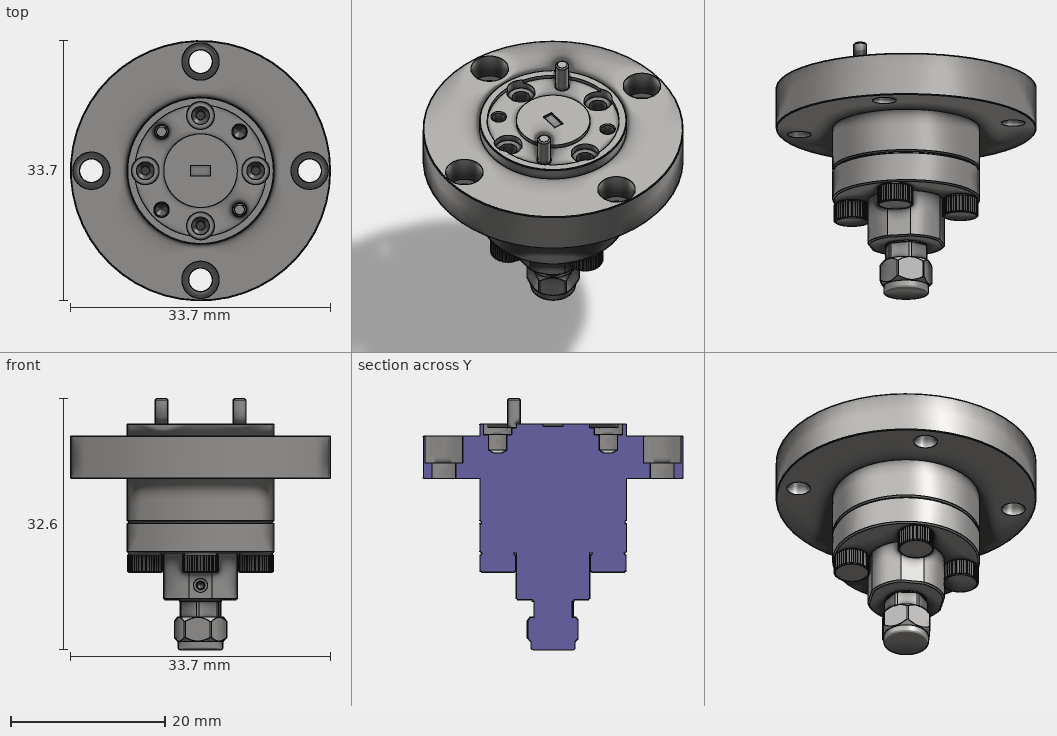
import cadquery as cq
import math


Z_PIN_TIP = 3.28
Z_RING_TOP = -1.56
Z_RING_BOTTOM = -7.1
Z_GROOVE_TOP = -12.5
Z_GROOVE_BOTTOM = -12.92
Z_BODY_BOTTOM = -16.73
Z_NECK_BOTTOM = -22.8
Z_SMALL_HEX_TOP = -22.98
Z_NUT_TOP = -25.03
Z_NUT_BOTTOM = -28.2
Z_SLEEVE_BOTTOM = -29.28

QUARTERS = (0, 90, 180, 270)
PIN_ANGLES = (135, 315)
PIN_HOLE_ANGLES = (45, 225)

BODY_RADIUS = 19.05 / 2
RING_RADIUS = 33.66 / 2
EDGE_CHAMFER = 0.1
GROOVE_DEPTH = 0.2
BODY_BOTTOM_CHAMFER = 0.2

MOUNT_CIRCLE_RADIUS = 28.24 / 2
MOUNT_HOLE_DIAMETER = 3.05
MOUNT_BORE_DIAMETER = 4.83
MOUNT_BORE_DEPTH = 3.5

RECESS_RADIUS = 17.06 / 2
CENTRE_BOSS_RADIUS = 9.53 / 2
RECESS_DEPTH = 0.5
WAVEGUIDE_LENGTH = 2.54
WAVEGUIDE_WIDTH = 1.32
WAVEGUIDE_DEPTH = 0.3

PITCH_RADIUS = 14.28 / 2
SCREW_BORE_RADIUS = 1.8
SCREW_BORE_DEPTH = 0.9
SCREW_HOLE_RADIUS = 1.15
SCREW_HOLE_DEPTH = 2.0
SCREW_CONE_END_RADIUS = 0.56
PIN_RADIUS = 0.84
PIN_CHAMFER = 0.2
PIN_SEAT_RADIUS = 0.94
PIN_SEAT_CHAMFER = 0.1
PIN_HOLE_RADIUS = 0.85
PIN_HOLE_CHAMFER = 0.15
PIN_HOLE_DEPTH = 3.0
DRILL_HALF_ANGLE = 59.0

HEAD_RADIUS = 2.32
HEAD_HEIGHT = 2.5
HEAD_TOP_CHAMFER = 0.24
HEAD_BOTTOM_CHAMFER = 0.12
KNURL_COUNT = 40
KNURL_DEPTH = 0.08

NECK_RADIUS = 5.0
NECK_ACROSS_FLATS = 9.53
NECK_CHAMFER = 0.2
SET_SCREW_Z = -20.92
SET_SCREW_RADIUS = 0.9
SET_SCREW_RECESS = 0.05
SOCKET_RADIUS = 0.45
SOCKET_CHAMFER = 0.12
SOCKET_DEPTH = 0.8

COLLAR_RADIUS = 2.72
SMALL_HEX_FLATS = 5.0
SMALL_HEX_CORNER_RADIUS = 2.8
SMALL_HEX_TURN = 22.75
NUT_FLATS = 6.0
NUT_CORNER_RADIUS = 3.41
NUT_TURN = -7.0
NUT_CHAMFER_HEIGHT = 0.55
NUT_TOP_RADIUS = 2.98
NUT_BOTTOM_RADIUS = 2.92
SLEEVE_RADIUS = 2.9
SLEEVE_FILLET = 0.36


def revolved(profile):
    """Solid of revolution about Z from (radius, z) points."""
    return cq.Workplane("XZ").polyline(profile).close().revolve(360, (0, 0), (0, 1))


def disc(radius, z_top, z_bottom):
    return cq.Workplane("XY").workplane(offset=z_bottom).circle(radius).extrude(z_top - z_bottom)


def around_axis(solid, radius, angles):
    """Copies of a solid moved out to a radius and turned to each angle."""
    moved = solid.translate((radius, 0, 0))
    copies = cq.Workplane("XY")
    for angle in angles:
        copies = copies.add(moved.rotate((0, 0, 0), (0, 0, 1), angle))
    return copies.combine()


def drill_cone_depth(radius, end_radius=0.0):
    return (radius - end_radius) / math.tan(math.radians(DRILL_HALF_ANGLE))


def make_body():
    body = disc(BODY_RADIUS, 0, Z_BODY_BOTTOM)
    body = body.faces(">Z").chamfer(EDGE_CHAMFER)
    body = body.faces("<Z").chamfer(BODY_BOTTOM_CHAMFER)
    ring = disc(RING_RADIUS, Z_RING_TOP, Z_RING_BOTTOM).faces("<Z or >Z").chamfer(EDGE_CHAMFER)
    return body.union(ring).cut(make_groove())


def make_groove():
    """Ring cutter with a 45 degree upper flank and a square lower flank."""
    floor_radius = BODY_RADIUS - GROOVE_DEPTH
    return revolved([
        (BODY_RADIUS, Z_GROOVE_TOP),
        (floor_radius, Z_GROOVE_TOP - GROOVE_DEPTH),
        (floor_radius, Z_GROOVE_BOTTOM),
        (BODY_RADIUS, Z_GROOVE_BOTTOM),
    ])


def make_mount_holes():
    hole = disc(MOUNT_HOLE_DIAMETER / 2, Z_RING_TOP, Z_RING_BOTTOM)
    bore = disc(MOUNT_BORE_DIAMETER / 2, Z_RING_TOP, Z_RING_TOP - MOUNT_BORE_DEPTH)
    return around_axis(hole.union(bore), MOUNT_CIRCLE_RADIUS, QUARTERS)


def make_face_recess():
    recess = disc(RECESS_RADIUS, 0, -RECESS_DEPTH).cut(disc(CENTRE_BOSS_RADIUS, 0, -RECESS_DEPTH))
    waveguide = cq.Workplane("XY").rect(WAVEGUIDE_LENGTH, WAVEGUIDE_WIDTH).extrude(-WAVEGUIDE_DEPTH)
    return recess.union(waveguide)


def make_screw_holes():
    z_bore = -RECESS_DEPTH - SCREW_BORE_DEPTH
    z_hole = z_bore - SCREW_HOLE_DEPTH
    z_cone = z_hole - drill_cone_depth(SCREW_HOLE_RADIUS, SCREW_CONE_END_RADIUS)
    hole = revolved([
        (0, 0),
        (SCREW_BORE_RADIUS, 0),
        (SCREW_BORE_RADIUS, z_bore),
        (SCREW_HOLE_RADIUS, z_bore),
        (SCREW_HOLE_RADIUS, z_hole),
        (SCREW_CONE_END_RADIUS, z_cone),
        (0, z_cone),
    ])
    return around_axis(hole, PITCH_RADIUS, QUARTERS)


def make_pin_holes():
    z_floor = -RECESS_DEPTH
    z_end = z_floor - PIN_HOLE_DEPTH
    hole = revolved([
        (0, z_floor),
        (PIN_HOLE_RADIUS + PIN_HOLE_CHAMFER, z_floor),
        (PIN_HOLE_RADIUS, z_floor - PIN_HOLE_CHAMFER),
        (PIN_HOLE_RADIUS, z_end),
        (0, z_end - drill_cone_depth(PIN_HOLE_RADIUS)),
    ])
    return around_axis(hole, PITCH_RADIUS, PIN_HOLE_ANGLES)


def make_pin_seats():
    z_floor = -RECESS_DEPTH
    seat = revolved([
        (0, z_floor),
        (PIN_SEAT_RADIUS, z_floor),
        (PIN_SEAT_RADIUS - PIN_SEAT_CHAMFER, z_floor - PIN_SEAT_CHAMFER),
        (0, z_floor - PIN_SEAT_CHAMFER),
    ])
    return around_axis(seat, PITCH_RADIUS, PIN_ANGLES)


def make_pins():
    pin = disc(PIN_RADIUS, Z_PIN_TIP, -RECESS_DEPTH - PIN_SEAT_CHAMFER)
    pin = pin.faces(">Z").chamfer(PIN_CHAMFER)
    return around_axis(pin, PITCH_RADIUS, PIN_ANGLES)


def make_screw_heads():
    """Knurled heads with a plain bevel above and below the teeth."""
    root_radius = HEAD_RADIUS - KNURL_DEPTH
    z_bottom = Z_BODY_BOTTOM - HEAD_HEIGHT
    z_knurl_top = Z_BODY_BOTTOM - HEAD_TOP_CHAMFER
    z_knurl_bottom = z_bottom + HEAD_BOTTOM_CHAMFER
    core = disc(root_radius, Z_BODY_BOTTOM, z_bottom)
    core = core.faces(">Z").chamfer(HEAD_TOP_CHAMFER)
    core = core.faces("<Z").chamfer(HEAD_BOTTOM_CHAMFER)

    outline = []
    for step in range(2 * KNURL_COUNT):
        radius = HEAD_RADIUS if step % 2 == 0 else root_radius
        angle = math.pi * step / KNURL_COUNT
        outline.append((radius * math.cos(angle), radius * math.sin(angle)))
    teeth = cq.Workplane("XY").workplane(offset=z_knurl_bottom).polyline(outline).close()
    teeth = teeth.extrude(z_knurl_top - z_knurl_bottom)
    return around_axis(core.union(teeth), PITCH_RADIUS, QUARTERS)


def make_neck():
    round_neck = disc(NECK_RADIUS, Z_BODY_BOTTOM, Z_NECK_BOTTOM)
    height = Z_BODY_BOTTOM - Z_NECK_BOTTOM
    flats = cq.Workplane("XY").workplane(offset=Z_NECK_BOTTOM)
    flats = flats.rect(NECK_ACROSS_FLATS, NECK_ACROSS_FLATS).extrude(height)
    return round_neck.intersect(flats).faces("<Z").chamfer(NECK_CHAMFER)


def make_set_screw_socket():
    """Cutter along +Y: shallow screw recess, then a chamfered socket with a conical end."""
    z_face = -SET_SCREW_RECESS
    cutter = revolved([
        (0, 0),
        (SET_SCREW_RADIUS, 0),
        (SET_SCREW_RADIUS, z_face),
        (SOCKET_RADIUS + SOCKET_CHAMFER, z_face),
        (SOCKET_RADIUS, z_face - SOCKET_CHAMFER),
        (SOCKET_RADIUS, z_face - SOCKET_DEPTH),
        (0, z_face - SOCKET_DEPTH - drill_cone_depth(SOCKET_RADIUS)),
    ])
    cutter = cutter.rotate((0, 0, 0), (1, 0, 0), 90)
    return cutter.translate((0, -NECK_ACROSS_FLATS / 2, SET_SCREW_Z))


def hexagon(across_flats, turn, z_top, z_bottom):
    corner_diameter = across_flats / math.cos(math.radians(30))
    prism = cq.Workplane("XY").workplane(offset=z_bottom).polygon(6, corner_diameter)
    return prism.extrude(z_top - z_bottom).rotate((0, 0, 0), (0, 0, 1), turn)


def make_connector():
    collar = disc(COLLAR_RADIUS, Z_NECK_BOTTOM, Z_SMALL_HEX_TOP)

    small_hex = hexagon(SMALL_HEX_FLATS, SMALL_HEX_TURN, Z_SMALL_HEX_TOP, Z_NUT_TOP)
    small_hex = small_hex.intersect(disc(SMALL_HEX_CORNER_RADIUS, Z_SMALL_HEX_TOP, Z_NUT_TOP))

    nut_envelope = revolved([
        (0, Z_NUT_TOP),
        (NUT_TOP_RADIUS, Z_NUT_TOP),
        (NUT_CORNER_RADIUS, Z_NUT_TOP - NUT_CHAMFER_HEIGHT),
        (NUT_CORNER_RADIUS, Z_NUT_BOTTOM + NUT_CHAMFER_HEIGHT),
        (NUT_BOTTOM_RADIUS, Z_NUT_BOTTOM),
        (0, Z_NUT_BOTTOM),
    ])
    nut = hexagon(NUT_FLATS, NUT_TURN, Z_NUT_TOP, Z_NUT_BOTTOM).intersect(nut_envelope)

    sleeve = disc(SLEEVE_RADIUS, Z_NUT_BOTTOM, Z_SLEEVE_BOTTOM).faces("<Z").edges().fillet(SLEEVE_FILLET)
    return collar.union(small_hex).union(nut).union(sleeve)


result = make_body()
result = result.cut(make_mount_holes())
result = result.cut(make_face_recess())
result = result.cut(make_screw_holes())
result = result.cut(make_pin_holes())
result = result.cut(make_pin_seats())
result = result.union(make_pins())
result = result.union(make_neck().cut(make_set_screw_socket()))
result = result.union(make_screw_heads())
result = result.union(make_connector())